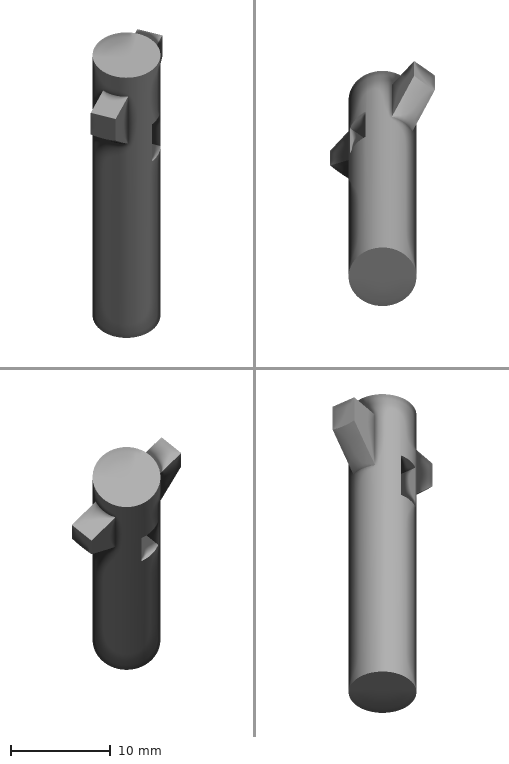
import cadquery as cq

pin_length = 35.1
pin_diameter = 6.8
pin_radius = pin_diameter / 2

lug_span = 13.4
lug_width = 2.67
lug_top = 32.55
lug_bottom = 26.2
lug_height = lug_top - lug_bottom
cone_top_radius = pin_radius + lug_height

window_width = 2.5
window_height = 5.0
window_bottom = 22.78


def make_pin():
    return cq.Workplane("XY").circle(pin_radius).extrude(pin_length)


def make_block(size_x, size_y, height, bottom):
    """Block centred on the pin axis, standing on the given level."""
    return cq.Workplane("XY").workplane(offset=bottom).rect(size_x, size_y).extrude(height)


def make_lugs():
    """Flat-sided bar trimmed underneath by a cone that starts at the pin surface."""
    bar = make_block(lug_width, lug_span, lug_height, lug_bottom)
    cone = (
        cq.Workplane("XZ")
        .moveTo(0, lug_bottom)
        .lineTo(pin_radius, lug_bottom)
        .lineTo(cone_top_radius, lug_top)
        .lineTo(0, lug_top)
        .close()
        .revolve(360, (0, 0, 0), (0, 1, 0))
    )
    return bar.intersect(cone)


window = make_block(pin_diameter, window_width, window_height, window_bottom)
result = make_pin().union(make_lugs()).cut(window)